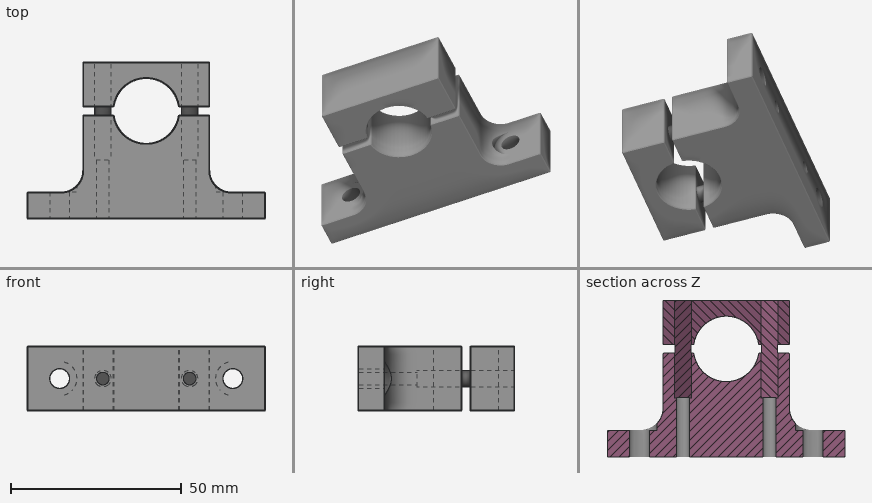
import cadquery as cq

FOOT_WIDTH = 69.85
FOOT_HEIGHT = 7.9
THICKNESS = 19.1
OVERALL_HEIGHT = 46.0
EDGE_CHAMFER = 0.25

CLAMP_WIDTH = 37.2
CAP_HEIGHT = 13.1
CLAMP_GAP = 2.4
ROOT_RADIUS = 6.35
CAP_BOTTOM = OVERALL_HEIGHT - CAP_HEIGHT
BASE_TOP = CAP_BOTTOM - CLAMP_GAP

BORE_DIAMETER = 19.1
BORE_HEIGHT = CAP_BOTTOM - CLAMP_GAP / 2

MOUNT_SPACING = 50.8
MOUNT_DIAMETER = 5.7
SPOT_FACE_DIAMETER = 10.05

SCREW_SPACING = 25.4
SCREW_DIAMETER = 4.8
PILOT_DIAMETER = 3.7
SCREW_ENGAGEMENT = CAP_HEIGHT
SCREW_END = BASE_TOP - SCREW_ENGAGEMENT


def cylinder_along_y(x, diameter, y_start, y_end):
    """Cylinder parallel to Y, centred in the thickness, between two heights."""
    return cq.Workplane(
        cq.Solid.makeCylinder(
            diameter / 2, y_end - y_start, cq.Vector(x, y_start, 0), cq.Vector(0, 1, 0)
        )
    )


def mirrored_positions(spacing):
    """X positions of a pair placed symmetrically about the middle."""
    return (-spacing / 2, spacing / 2)


def make_block(width, y_start, y_end):
    """Plain block of full thickness, centred on X and Z."""
    block = cq.Workplane("XY").box(width, y_end - y_start, THICKNESS)
    return block.translate((0, (y_start + y_end) / 2, 0))


def make_bore():
    """Shaft bore along Z, long enough to pass through both faces."""
    circle = cq.Workplane("XY").center(0, BORE_HEIGHT).circle(BORE_DIAMETER / 2)
    return circle.extrude(THICKNESS, both=True)


def make_screw(x):
    return cylinder_along_y(x, SCREW_DIAMETER, SCREW_END, OVERALL_HEIGHT)


def break_face_edges(body):
    """Chamfer the whole outline of both flat faces."""
    return body.faces("<Z or >Z").edges().chamfer(EDGE_CHAMFER)


def make_base():
    foot = make_block(FOOT_WIDTH, 0, FOOT_HEIGHT).edges("|Z").chamfer(EDGE_CHAMFER)
    upright = make_block(CLAMP_WIDTH, 0, BASE_TOP).cut(make_bore())
    upright = upright.faces(">Y").edges("|Z").chamfer(EDGE_CHAMFER)
    base = foot.union(upright)

    for side in (-1, 1):
        root = (side * CLAMP_WIDTH / 2, FOOT_HEIGHT, 0)
        base = base.edges(cq.selectors.NearestToPointSelector(root)).fillet(ROOT_RADIUS)
    base = break_face_edges(base)

    for x in mirrored_positions(MOUNT_SPACING):
        base = base.cut(cylinder_along_y(x, MOUNT_DIAMETER, 0, FOOT_HEIGHT))
        base = base.cut(cylinder_along_y(x, SPOT_FACE_DIAMETER, FOOT_HEIGHT, BASE_TOP))

    for x in mirrored_positions(SCREW_SPACING):
        base = base.cut(cylinder_along_y(x, PILOT_DIAMETER, 0, SCREW_END))
        base = base.cut(make_screw(x))
    return base.solids()


def make_cap():
    cap = make_block(CLAMP_WIDTH, CAP_BOTTOM, OVERALL_HEIGHT).cut(make_bore())
    cap = break_face_edges(cap.edges("|Z").chamfer(EDGE_CHAMFER))
    for x in mirrored_positions(SCREW_SPACING):
        cap = cap.cut(make_screw(x))
    return cap.solids()


base = make_base()
cap = make_cap()
screws = [make_screw(x) for x in mirrored_positions(SCREW_SPACING)]

result = cq.Compound.makeCompound([base.val(), cap.val(), *[screw.val() for screw in screws]])